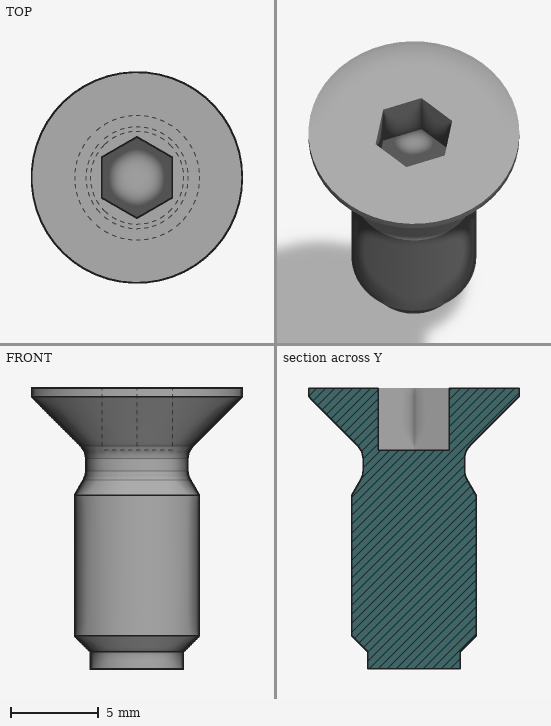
import cadquery as cq
import math

length = 16.0
head_diameter = 12.0
rim_height = 0.5
head_cone_angle = 45.0

neck_diameter = 5.8
neck_fillet = 1.0

shank_diameter = 7.1
shank_top_depth = 6.11
shoulder_angle = 30.0
tip_diameter = 5.3
tip_height = 1.0
tip_cone_angle = 45.0

socket_flats = 4.0
socket_depth = 3.52


def cone_height(large_diameter, small_diameter, angle):
    """Axial height of a cone whose side leans by angle from the axis."""
    return (large_diameter - small_diameter) / 2 / math.tan(math.radians(angle))


def make_body():
    """Revolved screw with both ends of the neck blended."""
    head_radius = head_diameter / 2
    neck_radius = neck_diameter / 2
    shank_radius = shank_diameter / 2
    tip_radius = tip_diameter / 2

    rim_bottom = length - rim_height
    neck_top = rim_bottom - cone_height(head_diameter, neck_diameter, head_cone_angle)
    shank_top = length - shank_top_depth
    neck_bottom = shank_top + cone_height(shank_diameter, neck_diameter, shoulder_angle)
    shank_bottom = tip_height + cone_height(shank_diameter, tip_diameter, tip_cone_angle)

    profile = [
        (0, 0),
        (tip_radius, 0),
        (tip_radius, tip_height),
        (shank_radius, shank_bottom),
        (shank_radius, shank_top),
        (neck_radius, neck_bottom),
        (neck_radius, neck_top),
        (head_radius, rim_bottom),
        (head_radius, length),
        (0, length),
    ]
    body = cq.Workplane("XZ").polyline(profile).close().revolve(360, (0, 0), (0, 1))

    neck_edges = cq.selectors.RadiusNthSelector(1)
    return body.edges("%CIRCLE").edges(neck_edges).fillet(neck_fillet)


def make_socket():
    """Hexagonal prism with its flats facing +X and -X."""
    corner_diameter = socket_flats / math.cos(math.pi / 6)
    return (
        cq.Workplane("XY", origin=(0, 0, length - socket_depth))
        .transformed(rotate=(0, 0, 90))
        .polygon(6, corner_diameter)
        .extrude(socket_depth)
    )


result = make_body().cut(make_socket())